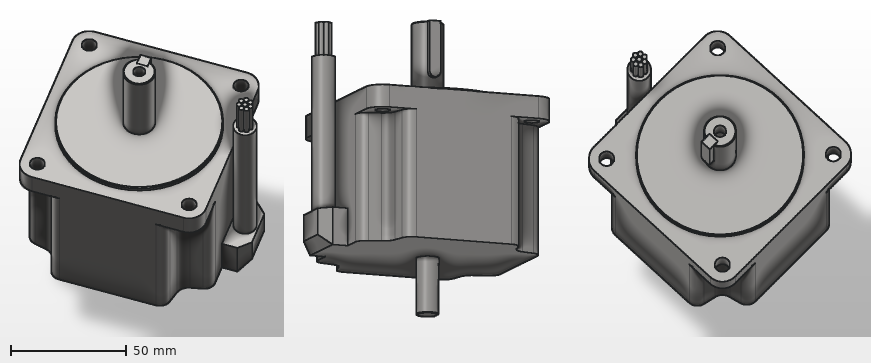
import cadquery as cq
import math


overall_height = 128.5
rear_shaft_length = 25.0
body_height = 56.5
flange_thickness = 9.9
pilot_height = 1.9

flange_top = body_height + flange_thickness
pilot_top = flange_top + pilot_height
shaft_top = overall_height - rear_shaft_length

flange_width = 85.0
half_width = flange_width / 2
hole_spacing = 69.5
mount_hole_diameter = 6.5
flange_corner_radius = (flange_width - hole_spacing) / 2

relief_start = 20.3
shoulder_radius = 5.1
relief_flat_length = 5.7
relief_flat_tilt = 13.0

pilot_diameter = 73.0
pilot_chamfer = 0.5

drive_shaft_diameter = 14.0
rear_shaft_diameter = 10.0
shaft_chamfer = 0.4
rear_flat_offset = 4.0
rear_flat_start = 2.7
centre_hole_diameter = 5.3
centre_hole_depth = 10.3
drill_tip_angle = 118.0

key_width = 5.0
key_length = 24.9
key_outer = 9.0

outlet_reach = 12.1
outlet_width = 26.6
outlet_height = 16.6
outlet_chamfer = 5.0
cable_x = half_width + outlet_reach / 2
cable_diameter = 10.3
cable_top = 85.3
wire_top = 100.4
wire_diameter = 2.2
wire_ring_radius = 2.6
outer_wire_count = 7
wire_ring_turn = -5.5


def cylinder(diameter, bottom, top):
    return cq.Workplane("XY").workplane(offset=bottom).circle(diameter / 2).extrude(top - bottom)


def corner_relief():
    """Prism that removes the corner at +X +Y: shoulder, flat, hollow, flat and shoulder, all tangent."""
    tilt = math.radians(relief_flat_tilt)
    flat_start_along = relief_start - shoulder_radius * math.cos(tilt)
    flat_start_depth = shoulder_radius * (1 - math.sin(tilt))
    flat_end_along = flat_start_along - relief_flat_length * math.sin(tilt)
    flat_end_depth = flat_start_depth + relief_flat_length * math.cos(tilt)

    def inward(x, y):
        """Point at these distances inward from the corner."""
        return (half_width - x, half_width - y)

    return (
        cq.Workplane("XY")
        .moveTo(*inward(flat_start_along, flat_start_depth))
        .lineTo(*inward(flat_end_along, flat_end_depth))
        .tangentArcPoint(inward(flat_end_depth, flat_end_along), relative=False)
        .lineTo(*inward(flat_start_depth, flat_start_along))
        .tangentArcPoint(inward(0, relief_start), relative=False)
        .lineTo(*inward(0, 0))
        .lineTo(*inward(relief_start, 0))
        .radiusArc(inward(flat_start_along, flat_start_depth), shoulder_radius)
        .close()
        .extrude(body_height)
    )


def body():
    block = cq.Workplane("XY").rect(flange_width, flange_width).extrude(body_height)
    relief = corner_relief()
    for quarter in range(4):
        block = block.cut(relief.rotate((0, 0, 0), (0, 0, 1), quarter * 90))
    return block


def flange():
    return (
        cq.Workplane("XY")
        .workplane(offset=body_height)
        .rect(flange_width, flange_width)
        .extrude(flange_thickness)
        .edges("|Z")
        .fillet(flange_corner_radius)
        .faces(">Z")
        .workplane()
        .rect(hole_spacing, hole_spacing, forConstruction=True)
        .vertices()
        .hole(mount_hole_diameter)
    )


def pilot():
    return cylinder(pilot_diameter, flange_top, pilot_top).faces(">Z").edges().chamfer(pilot_chamfer)


def drive_shaft():
    """Front shaft with a drilled centre hole that ends in a cone."""
    hole_radius = centre_hole_diameter / 2
    tip_length = hole_radius / math.tan(math.radians(drill_tip_angle / 2))
    hole_bottom = shaft_top - centre_hole_depth
    centre_hole = (
        cq.Workplane("XZ")
        .moveTo(0, shaft_top)
        .lineTo(hole_radius, shaft_top)
        .lineTo(hole_radius, hole_bottom)
        .lineTo(0, hole_bottom - tip_length)
        .close()
        .revolve(360, (0, 0, 0), (0, 1, 0))
    )
    shaft = cylinder(drive_shaft_diameter, pilot_top, shaft_top).faces(">Z").edges().chamfer(shaft_chamfer)
    return shaft.cut(centre_hole)


def rear_shaft():
    """Rear shaft with a flat on its -X side."""
    shaft = cylinder(rear_shaft_diameter, -rear_shaft_length, 0).faces("<Z").edges().chamfer(shaft_chamfer)
    beyond_flat = (
        cq.Workplane("XY")
        .workplane(offset=-rear_shaft_length)
        .center(-rear_flat_offset - rear_shaft_diameter / 2, 0)
        .rect(rear_shaft_diameter, rear_shaft_diameter)
        .extrude(rear_shaft_length - rear_flat_start)
    )
    return shaft.cut(beyond_flat)


def cable_outlet():
    """Block on the +X side, chamfered on its outer upright edges and its outer bottom edge."""
    return (
        cq.Workplane("XY")
        .center(cable_x, 0)
        .rect(outlet_reach, outlet_width)
        .extrude(outlet_height)
        .edges("(>X and |Z) or (>X and <Z)")
        .chamfer(outlet_chamfer)
    )


def cable():
    """Jacket standing on the outlet, with a ring of bare wires around a central one."""
    jacket = cylinder(cable_diameter, outlet_height, cable_top)
    wire = cylinder(wire_diameter, cable_top, wire_top)
    bundle = jacket.union(wire)
    for index in range(outer_wire_count):
        angle = wire_ring_turn + 360 / outer_wire_count * index
        outer_wire = wire.translate((wire_ring_radius, 0, 0)).rotate((0, 0, 0), (0, 0, 1), angle)
        bundle = bundle.union(outer_wire)
    return bundle.translate((cable_x, 0, 0))


def shaft_key():
    """Square key, flush with the shaft end and rounded at its lower end."""
    radius = key_width / 2
    bottom = shaft_top - key_length
    return (
        cq.Workplane("XZ", origin=(0, key_outer, 0))
        .moveTo(-radius, shaft_top)
        .lineTo(-radius, bottom + radius)
        .threePointArc((0, bottom), (radius, bottom + radius))
        .lineTo(radius, shaft_top)
        .close()
        .extrude(key_width)
    )


key = shaft_key()

motor = body()
for part in (flange(), pilot(), drive_shaft(), rear_shaft(), cable_outlet(), cable()):
    motor = motor.union(part)
motor = motor.cut(key)

result = cq.Compound.makeCompound([motor.val(), key.val()])